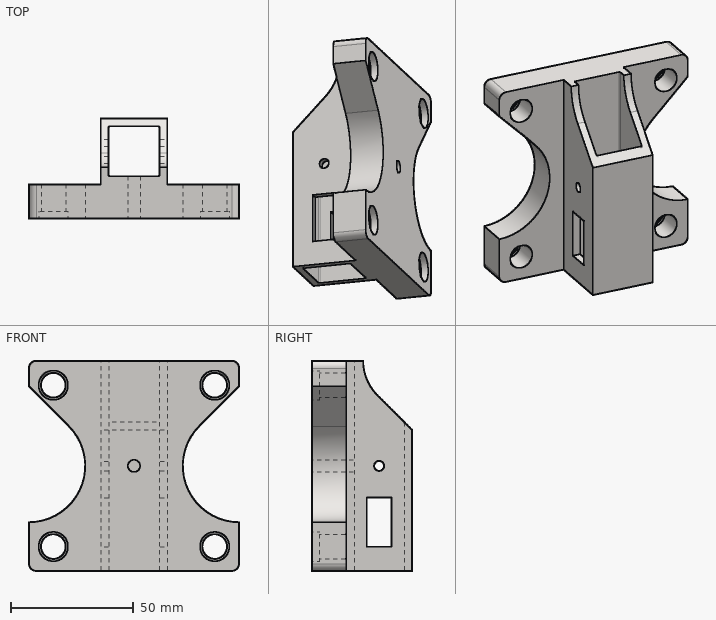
import cadquery as cq
import math

plate_size = 86.0
plate_thickness = 14.0
plate_corner_radius = 3.0

socket_width = 27.3
socket_depth = 27.0
socket_wall = 3.3
bore_corner_radius = 0.5

notch_radius = 23.0

bolt_spacing = 66.0
bolt_diameter = 10.0
counterbore_diameter = 12.0
counterbore_depth = 3.0

screw_diameter = 5.0
pin_diameter = 4.0
window_width = 10.0
window_height = 20.0
window_center_z = -23.0

scoop_radius = 20.0

half_plate = plate_size / 2
plate_back_y = plate_thickness
socket_back_y = plate_back_y + socket_depth
socket_center_y = plate_back_y + socket_depth / 2
cos45 = math.cos(math.radians(45))


def make_plate():
    """Square plate with rounded corners."""
    plate = cq.Workplane("XY").box(plate_size, plate_thickness, plate_size)
    plate = plate.edges("|Y").fillet(plate_corner_radius)
    return plate.translate((0, plate_thickness / 2, 0))


def make_notch():
    """Cutter for the notch on the -X side, centred on the plate edge."""
    tangent_x = -half_plate + notch_radius * cos45
    tangent_z = notch_radius * cos45
    flare_end_z = notch_radius / cos45
    waist = (-half_plate + notch_radius, 0)
    return (
        cq.Workplane("XZ")
        .moveTo(-half_plate, -notch_radius)
        .threePointArc(waist, (tangent_x, tangent_z))
        .lineTo(-half_plate, flare_end_z)
        .close()
        .extrude(-plate_thickness)
    )


def make_socket():
    """Socket body, its YZ side profile extruded across the width."""
    scoop_start_y = socket_back_y - scoop_radius
    slope_start = (socket_back_y - scoop_radius * cos45, half_plate - scoop_radius * cos45)
    slope_end_z = half_plate - scoop_radius / cos45
    mid_angle = math.radians(45) / 2
    scoop_middle = (
        socket_back_y - scoop_radius * math.cos(mid_angle),
        half_plate - scoop_radius * math.sin(mid_angle),
    )
    return (
        cq.Workplane("YZ")
        .moveTo(plate_back_y, -half_plate)
        .lineTo(plate_back_y, half_plate)
        .lineTo(scoop_start_y, half_plate)
        .threePointArc(scoop_middle, slope_start)
        .lineTo(socket_back_y, slope_end_z)
        .lineTo(socket_back_y, -half_plate)
        .close()
        .extrude(socket_width / 2, both=True)
    )


def make_socket_bore():
    """Cutter for the rectangular opening through the full height of the socket."""
    bore_width = socket_width - 2 * socket_wall
    bore_depth = socket_depth - 2 * socket_wall
    bore = cq.Workplane("XY").box(bore_width, bore_depth, plate_size)
    return bore.edges("|Z").fillet(bore_corner_radius).translate((0, socket_center_y, 0))


def bolt_cylinders(diameter, depth):
    """Four cylinders at the bolt positions, running back from the front face."""
    return (
        cq.Workplane("XZ")
        .rarray(bolt_spacing, bolt_spacing, 2, 2)
        .circle(diameter / 2)
        .extrude(-depth)
    )


def make_bolt_holes():
    """Cutter for the four bolt holes, counterbored from the front face."""
    holes = bolt_cylinders(bolt_diameter, plate_thickness)
    counterbores = bolt_cylinders(counterbore_diameter, counterbore_depth)
    return holes.union(counterbores)


def make_screw_hole():
    """Cutter for the central hole from the front face into the socket bore."""
    depth = plate_thickness + socket_depth / 2
    return cq.Workplane("XZ").circle(screw_diameter / 2).extrude(-depth)


def make_cross_openings():
    """Cutter for the pin hole and windows through both side walls of the socket."""
    half_width = socket_width / 2
    pin_hole = (
        cq.Workplane("YZ")
        .center(socket_center_y, 0)
        .circle(pin_diameter / 2)
        .extrude(half_width, both=True)
    )
    windows = (
        cq.Workplane("YZ")
        .center(socket_center_y, window_center_z)
        .rect(window_width, window_height)
        .extrude(half_width, both=True)
    )
    return pin_hole.union(windows)


notch = make_notch()
plate = make_plate().cut(notch).cut(notch.mirror("YZ")).cut(make_bolt_holes())
socket = make_socket().cut(make_socket_bore()).cut(make_cross_openings())
result = plate.union(socket)
result = result.cut(make_screw_hole())